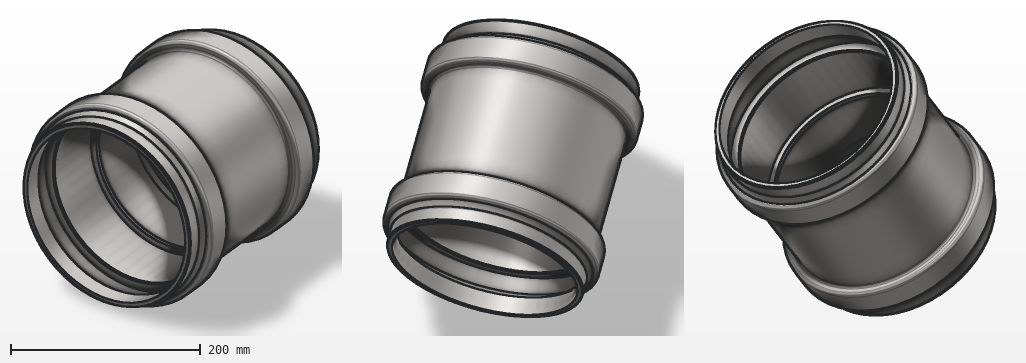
import cadquery as cq

length = 242.0
tube_radius = 213.5 / 2
bore_radius = 201.5 / 2
lip_chamfer_length = 2.0
lip_chamfer_height = 1.0

bead_radius = 234.7 / 2
bead_start = 24.0
bead_end = 55.5
bead_rounding = 3.9
bead_root_fillet = 2.7

neck_start = 17.2
neck_foot_length = 1.5
neck_small_radius = 214.0 / 2
neck_large_radius = 222.6 / 2
neck_sag = 0.5

wall = tube_radius - bore_radius
mouth_radius = 201.8 / 2
mouth_depth = 20.8
groove_radius = 223.0 / 2
groove_floor_start = bead_start + wall
groove_end = bead_end - wall
groove_edge_chamfer = 1.5

stop_radius = 187.5 / 2
stop_width = 4.8


def revolve_about_y(profile):
    """Turn a (radius, Y) outline, closed back to its start, about the Y axis."""
    return profile.close().revolve(360, (0, 0, 0), (0, 1, 0))


def make_tube():
    """Plain outer cylinder with a chamfered lip at both ends."""
    end = length / 2
    profile = (
        cq.Workplane("XY")
        .moveTo(0, -end)
        .lineTo(tube_radius - lip_chamfer_height, -end)
        .lineTo(tube_radius, -end + lip_chamfer_length)
        .lineTo(tube_radius, end - lip_chamfer_length)
        .lineTo(tube_radius - lip_chamfer_height, end)
        .lineTo(0, end)
    )
    return revolve_about_y(profile)


def make_collar():
    """Neck and rounded bead around the socket at the -Y end."""
    mouth = -length / 2
    shoulder_radius = bead_radius - bead_rounding
    root_radius = tube_radius + bead_root_fillet
    neck_middle = (
        (neck_small_radius + neck_large_radius) / 2 - neck_sag,
        mouth + (neck_start + bead_start) / 2 - neck_sag,
    )
    collar_end = mouth + bead_end + bead_root_fillet
    profile = (
        cq.Workplane("XY")
        .moveTo(bore_radius, mouth + neck_start - neck_foot_length)
        .lineTo(tube_radius, mouth + neck_start - neck_foot_length)
        .lineTo(neck_small_radius, mouth + neck_start)
        .threePointArc(neck_middle, (neck_large_radius, mouth + bead_start))
        .lineTo(shoulder_radius, mouth + bead_start)
        .radiusArc((bead_radius, mouth + bead_start + bead_rounding), -bead_rounding)
        .lineTo(bead_radius, mouth + bead_end - bead_rounding)
        .radiusArc((shoulder_radius, mouth + bead_end), -bead_rounding)
        .lineTo(root_radius, mouth + bead_end)
        .radiusArc((tube_radius, collar_end), bead_root_fillet)
        .lineTo(bore_radius, collar_end)
    )
    return revolve_about_y(profile)


def make_socket_cavity():
    """Space from the stop rib out to the -Y mouth, including the seal groove."""
    mouth = -length / 2
    stop_face = -stop_width / 2
    profile = (
        cq.Workplane("XY")
        .moveTo(0, mouth)
        .lineTo(mouth_radius, mouth)
        .lineTo(mouth_radius, mouth + mouth_depth)
        .lineTo(groove_radius, mouth + groove_floor_start)
        .lineTo(groove_radius, mouth + groove_end)
        .lineTo(bore_radius + groove_edge_chamfer, mouth + groove_end)
        .lineTo(bore_radius, mouth + groove_end + groove_edge_chamfer)
        .lineTo(bore_radius, stop_face)
        .lineTo(0, stop_face)
    )
    return revolve_about_y(profile)


def make_stop_opening():
    """Round passage through the stop rib."""
    return cq.Workplane("XZ").circle(stop_radius).extrude(length / 2, both=True)


collar = make_collar()
cavity = make_socket_cavity()
body = make_tube().union(collar).union(collar.mirror("XZ"))
result = body.cut(cavity).cut(cavity.mirror("XZ")).cut(make_stop_opening())